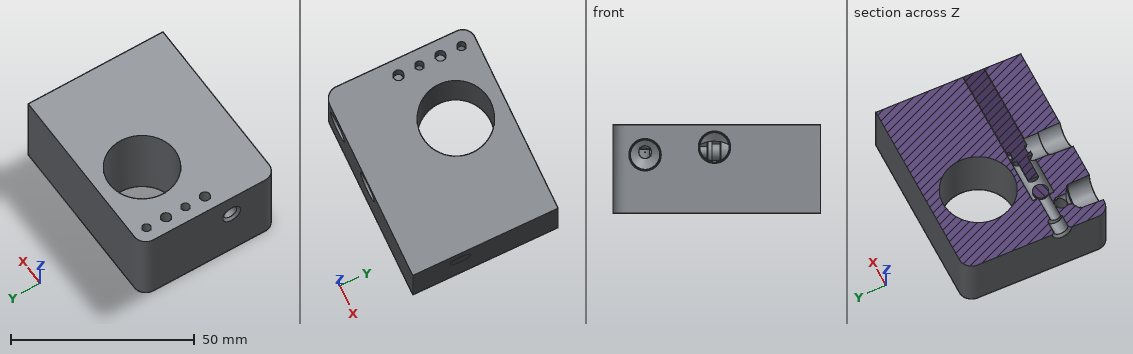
import cadquery as cq
import math

length = 56.5
width = 43.8
height = 24.15
corner_radius = 3.75

main_bore_diameter = 21.1
main_bore_x = 21.95
main_bore_y = 29.4

row_x = 4.4
row_back_y = 39.4
row_pitch = 6.35
row_pairs = 2
row_hole_depth = 5.65
drilled_diameter = 2.55
flat_diameter = 3.0

drill_point_angle = 118.0

valve_y = 14.3
valve_z = height - 7.5

inlet_y = 14.6
inlet_z = height - 7.65
inlet_mouth_diameter = 5.75
inlet_throat_diameter = 4.25
inlet_depth = 4.5

bore_diameter = 6.35
bore_start_x = 12.45
seat_diameter = 3.0
ball_diameter = 4.6
ball_x = bore_start_x + math.sqrt(ball_diameter**2 - seat_diameter**2) / 2

land_diameter = 6.3
groove_diameter = 4.6
stem_diameter = 3.2
stem_start_x = ball_x + ball_diameter
left_land_x = 25.6
groove_x = 26.95
right_land_x = 29.15
land_chamfer = 0.3

port_mouth_diameter = 8.8
port_taper_end_diameter = 8.35
port_taper_depth = 6.8
port_drill_diameter = 7.95
supply_port_x = 8.75
supply_port_z = height - 8.2
supply_port_depth = 7.05
outlet_port_x = 27.65
outlet_port_z = height - 6.15
outlet_port_depth = valve_y - 2.45

cross_passage_diameter = 3.45
cross_passage_tip_y = 12.65
point_break = 0.05
riser_diameter = 3.7
riser_x = supply_port_x - 0.2
riser_y = cross_passage_tip_y - point_break - riser_diameter / 2
riser_shoulder_z = valve_z + 0.8

DOWN = "XY", -1
UP = "XY", 1
BACK = "XZ", -1
RIGHT = "YZ", 1


def point_length(diameter):
    """Length of the conical point of a drill."""
    return diameter / 2 / math.tan(math.radians(drill_point_angle / 2))


def cylinder(origin, direction, depth, diameter):
    plane, sense = direction
    return cq.Workplane(plane, origin=origin).circle(diameter / 2).extrude(sense * depth)


def cone(origin, direction, depth, start_diameter, end_diameter=0.0):
    """A cone narrowing along the direction, full or cut off at end_diameter."""
    plane, sense = direction
    axis = cq.Workplane(plane).plane.zDir * sense
    solid = cq.Solid.makeCone(start_diameter / 2, end_diameter / 2, depth, cq.Vector(*origin), axis)
    return cq.Workplane(solid)


def drilled_hole(origin, direction, depth, diameter):
    """A hole with a conical bottom; the depth is measured to the start of the cone."""
    plane, sense = direction
    point_start = cq.Vector(*origin) + cq.Workplane(plane).plane.zDir * (sense * depth)
    point = cone(point_start.toTuple(), direction, point_length(diameter), diameter)
    return cylinder(origin, direction, depth, diameter).union(point)


def valve_rod(start_x, end_x, diameter):
    """A cylinder on the valve axis."""
    return cylinder((start_x, valve_y, valve_z), RIGHT, end_x - start_x, diameter)


def make_block():
    block = cq.Workplane("XY").box(length, width, height, centered=False)
    block = block.edges("|Z and <X").fillet(corner_radius)
    return block.cut(cylinder((main_bore_x, main_bore_y, 0), UP, height, main_bore_diameter))


def cut_hole_row(block):
    for pair in range(row_pairs):
        drilled_y = row_back_y - 2 * pair * row_pitch
        flat_y = drilled_y - row_pitch
        block = block.cut(drilled_hole((row_x, drilled_y, height), DOWN, row_hole_depth, drilled_diameter))
        block = block.cut(cylinder((row_x, flat_y, height), DOWN, row_hole_depth, flat_diameter))
    return block


def cut_port(block, x, z, depth):
    mouth = cone((x, 0, z), BACK, port_taper_depth, port_mouth_diameter, port_taper_end_diameter)
    return block.cut(mouth).cut(drilled_hole((x, 0, z), BACK, depth, port_drill_diameter))


def cut_supply_passages(block):
    cross_depth = cross_passage_tip_y - point_length(cross_passage_diameter)
    cross = drilled_hole((supply_port_x, 0, valve_z), BACK, cross_depth, cross_passage_diameter)
    riser = drilled_hole((riser_x, riser_y, 0), UP, riser_shoulder_z, riser_diameter)
    return block.cut(cross).cut(riser)


def cut_valve_bore(block):
    mouth_depth = (inlet_mouth_diameter - inlet_throat_diameter) / 2
    inlet_center = (0, inlet_y, inlet_z)
    block = block.cut(cone(inlet_center, RIGHT, mouth_depth, inlet_mouth_diameter, inlet_throat_diameter))
    block = block.cut(drilled_hole(inlet_center, RIGHT, inlet_depth, inlet_throat_diameter))
    block = block.cut(valve_rod(inlet_depth, bore_start_x, seat_diameter))
    return block.cut(valve_rod(bore_start_x, length, bore_diameter))


def make_housing():
    block = cut_hole_row(make_block())
    block = cut_port(block, supply_port_x, supply_port_z, supply_port_depth)
    block = cut_port(block, outlet_port_x, outlet_port_z, outlet_port_depth)
    block = cut_supply_passages(block)
    return cut_valve_bore(block)


def make_ball():
    return cq.Workplane("XY").sphere(ball_diameter / 2).translate((ball_x, valve_y, valve_z))


def make_land(start_x, end_x):
    """A land with its left edge chamfered."""
    return valve_rod(start_x, end_x, land_diameter).faces("<X").chamfer(land_chamfer)


def make_spool():
    stem = valve_rod(stem_start_x, left_land_x, stem_diameter)
    groove = valve_rod(groove_x, right_land_x, groove_diameter)
    left_land = make_land(left_land_x, groove_x)
    right_land = make_land(right_land_x, length)
    return stem.union(left_land).union(groove).union(right_land)


housing = make_housing()
ball = make_ball()
spool = make_spool()
result = cq.Compound.makeCompound([housing.solids().val(), ball.val(), spool.solids().val()])